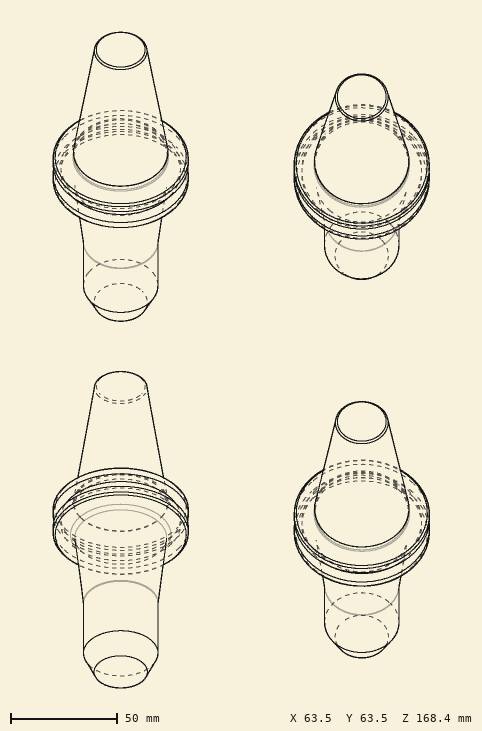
import cadquery as cq
import math


shank_length = 68.4
gauge_radius = 44.45 / 2
taper_slope = 7 / 48
shank_chamfer = 0.8

relief_depth = 0.3
relief_lead = 0.5
relief_fillet = 0.5
relief_radius = gauge_radius - relief_depth

flange_radius = 63.5 / 2
flange_top = -3.2
flange_bottom = -19.1
flange_chamfer = 1.0
groove_center = -11.1
groove_root_radius = 56.25 / 2
groove_root_half_width = 1.9
groove_mouth_half_width = 3.65

body_length = 100.0
body_half_angle = math.radians(6)
body_fillet = 2.0
cylinder_radius = 35 / 2
cylinder_top = -59.6
cylinder_blend = 5.0
nose_length = 11.0
nose_radius = 25 / 2


def shank_points():
    """Taper from the flat small end down to the relief above the flange."""
    end_radius = gauge_radius - taper_slope * shank_length
    chamfer_start_radius = end_radius + taper_slope * shank_chamfer
    return [
        (0, shank_length),
        (end_radius - shank_chamfer, shank_length),
        (chamfer_start_radius, shank_length - shank_chamfer),
        (gauge_radius, 0),
        (relief_radius, -relief_lead),
        (relief_radius, flange_top + relief_fillet),
    ]


def flange_points():
    """Chamfered flange rim with the V-groove cut into it."""
    rim_edge = flange_radius - flange_chamfer
    return [
        (rim_edge, flange_top),
        (flange_radius, flange_top - flange_chamfer),
        (flange_radius, groove_center + groove_mouth_half_width),
        (groove_root_radius, groove_center + groove_root_half_width),
        (groove_root_radius, groove_center - groove_root_half_width),
        (flange_radius, groove_center - groove_mouth_half_width),
        (flange_radius, flange_bottom + flange_chamfer),
        (rim_edge, flange_bottom),
    ]


def nose_points():
    """Cylinder and tapered nose, below the blend from the cone."""
    return [
        (cylinder_radius, nose_length - body_length),
        (nose_radius, -body_length),
        (0, -body_length),
    ]


def body_fillet_ends():
    """Tangent points of the fillet on the flange underside and on the cone."""
    cone_height = flange_bottom - cylinder_top
    corner_radius = cylinder_radius + cone_height * math.tan(body_half_angle)
    tangent_length = body_fillet / math.tan((math.pi / 2 + body_half_angle) / 2)
    on_flange = (corner_radius + tangent_length, flange_bottom)
    on_cone = (
        corner_radius - tangent_length * math.sin(body_half_angle),
        flange_bottom - tangent_length * math.cos(body_half_angle),
    )
    return on_flange, on_cone


def cylinder_blend_ends():
    """Tangent points of the concave blend between the cone and the cylinder."""
    tangent_length = cylinder_blend * math.tan(body_half_angle / 2)
    on_cone = (
        cylinder_radius + tangent_length * math.sin(body_half_angle),
        cylinder_top + tangent_length * math.cos(body_half_angle),
    )
    on_cylinder = (cylinder_radius, cylinder_top - tangent_length)
    return on_cone, on_cylinder


def half_profile():
    """Closed half section in the XZ plane."""
    outline = cq.Workplane("XZ").polyline(shank_points())
    outline = outline.radiusArc((relief_radius + relief_fillet, flange_top), -relief_fillet)
    for point in flange_points():
        outline = outline.lineTo(*point)
    fillet_start, fillet_end = body_fillet_ends()
    outline = outline.lineTo(*fillet_start)
    outline = outline.radiusArc(fillet_end, -body_fillet)
    blend_start, blend_end = cylinder_blend_ends()
    outline = outline.lineTo(*blend_start)
    outline = outline.radiusArc(blend_end, -cylinder_blend)
    for point in nose_points():
        outline = outline.lineTo(*point)
    return outline.close()


result = half_profile().revolve(360, (0, 0, 0), (0, 1, 0))